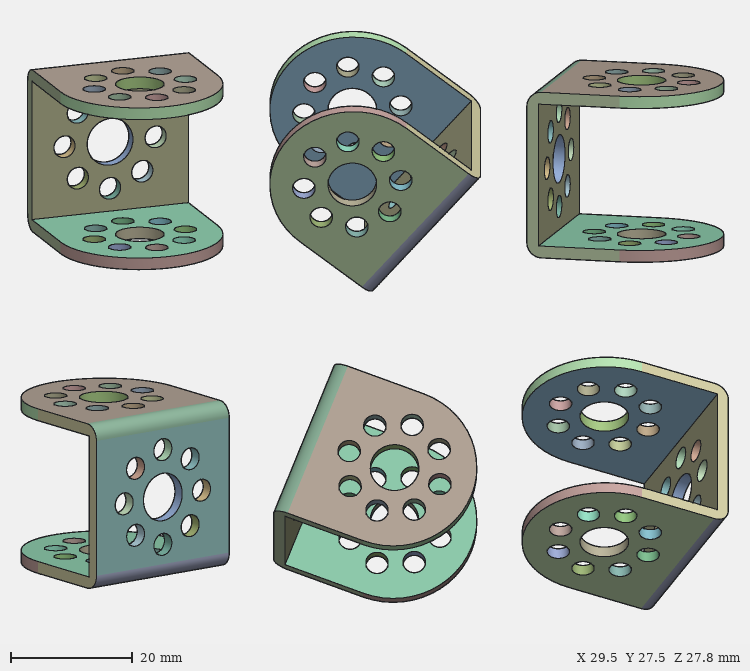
import cadquery as cq

length = 29.5
width = 27.5
height = 27.8
sheet = 2.0
bend_radius = 2.5

center_hole_diameter = 8.0
small_hole_diameter = 3.7
ring_radius = 8.0
ring_count = 8
flange_pattern_x = 16.0

end_radius = width / 2


def hole_pattern(plane, depth):
    """Cutters for the large hole and its ring, centred on the plane and extruded both ways."""
    center = cq.Workplane(plane).circle(center_hole_diameter / 2).extrude(depth, both=True)
    ring = (
        cq.Workplane(plane)
        .polarArray(ring_radius, 0, 360, ring_count)
        .circle(small_hole_diameter / 2)
        .extrude(depth, both=True)
    )
    return center.union(ring)


body = (
    cq.Workplane("XY")
    .box(length, width, height, centered=(False, True, True))
    .edges("|Y and <X")
    .fillet(bend_radius)
)

channel = (
    cq.Workplane("XY")
    .box(length, width, height - 2 * sheet, centered=(False, True, True))
    .translate((sheet, 0, 0))
)

outline = (
    cq.Workplane("XY")
    .moveTo(0, -end_radius)
    .lineTo(length - end_radius, -end_radius)
    .threePointArc((length, 0), (length - end_radius, end_radius))
    .lineTo(0, end_radius)
    .close()
    .extrude(height / 2, both=True)
)

flange_holes = hole_pattern(cq.Plane.XY(origin=(flange_pattern_x, 0, 0)), height)
web_holes = hole_pattern(cq.Plane.YZ(), 2 * sheet)

result = body.intersect(outline).cut(channel).cut(flange_holes).cut(web_holes)